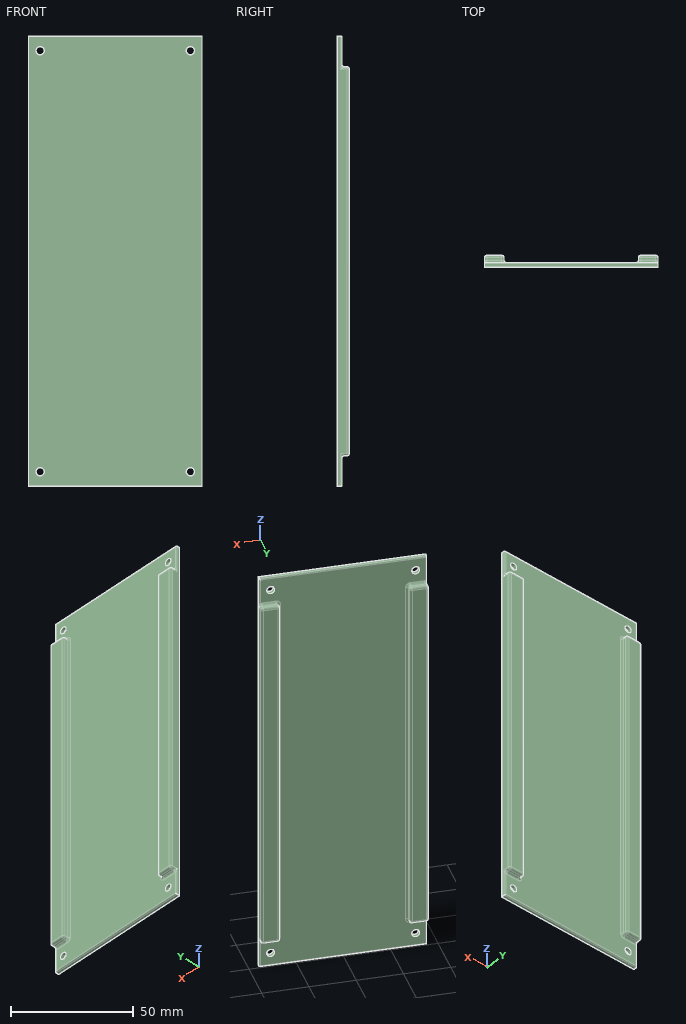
import cadquery as cq

plate_width = 70.88
plate_height = 184.0
plate_thickness = 2.0
plate_edge_radius = 0.5

overall_depth = 5.0
rail_width = 8.0
rail_end_gap = 12.5
rail_height = plate_height - 2 * rail_end_gap
rail_edge_radius = 1.0
rail_foot_radius = 1.0
selection_margin = 0.01

hole_diameter = 3.25
hole_side_distance = 4.75
hole_end_distance = 6.0


def make_plate():
    """Flat plate with its rear edges rounded."""
    plate = cq.Workplane("XY").box(
        plate_width, plate_thickness, plate_height, centered=(True, False, True)
    )
    return plate.faces(">Y").edges().fillet(plate_edge_radius)


def make_rail(side):
    """Rail on one side (-1 or +1), with rounded corners and rear edges."""
    rail_center = side * (plate_width - rail_width) / 2
    rail = (
        cq.Workplane("XY")
        .box(rail_width, overall_depth, rail_height, centered=(True, False, True))
        .translate((rail_center, 0, 0))
    )
    return rail.edges("|Y or >Y").fillet(rail_edge_radius)


def make_holes():
    """Cylinders for the four through holes, running along Y."""
    hole_spacing_x = plate_width - 2 * hole_side_distance
    hole_spacing_z = plate_height - 2 * hole_end_distance
    return (
        cq.Workplane("XZ")
        .rect(hole_spacing_x, hole_spacing_z, forConstruction=True)
        .vertices()
        .circle(hole_diameter / 2)
        .extrude(-plate_thickness)
    )


def blend_rail_feet(body):
    """Concave fillet where the ends and inner sides of the rails meet the plate's rear face."""
    foot_zone = cq.selectors.BoxSelector(
        (-plate_width / 2, plate_thickness - selection_margin, -rail_height / 2 - selection_margin),
        (plate_width / 2, plate_thickness + selection_margin, rail_height / 2 + selection_margin),
        boundingbox=True,
    )
    return body.edges(foot_zone).fillet(rail_foot_radius)


result = make_plate()
for side in (-1, 1):
    result = result.union(make_rail(side))
result = blend_rail_feet(result)
result = result.cut(make_holes())